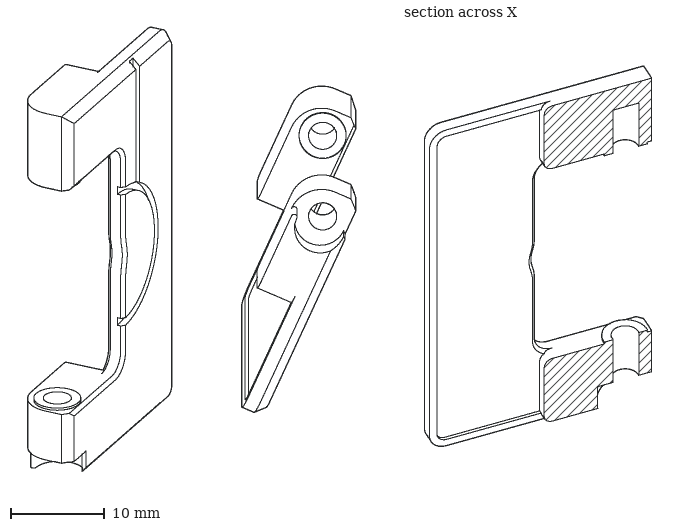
import cadquery as cq
import math

HEIGHT = 44.0
DEPTH = 25.45
WIDTH = 6.4
MID_Z = HEIGHT / 2

PLATE_BACK_X = 3.95
CORNER_RADIUS = 2.0
OUTER_CHAMFER = 1.0
RIM_WIDTH = 0.9
POCKET_DEPTH = 0.4

BLOCK_HEIGHT = 8.8
SLOT_BOTTOM_Y = 12.95
SLOT_RADIUS = 2.05
SLOT_CHAMFER = 0.4

NOTCH_DEPTH = 0.4
NOTCH_RADIUS = 3.75
NOTCH_BLEND_RADIUS = 4.9

BLOCK_DEPTH = 12.5
BLOCK_NOSE_RADIUS = 3.5
BLOCK_CORNER_RADIUS = 1.0

PIN_X = 3.4
PIN_Y = 3.0
PIN_DIAMETER = 3.0
BOSS_DIAMETER = 5.0
BOSS_HEIGHT = 0.25

RELIEF_HEIGHT = 3.05
RELIEF_RADIUS = 2.75
LIP_THICKNESS = 0.6

CHANNEL_WIDTH = 0.9
CHANNEL_DEPTH = 0.8
CHANNEL_RING_RADIUS = 7.75
CHANNEL_ENTRY_Y = 16.25


def slot_outline():
    """Slot profile in the YZ plane, open toward -Y."""
    low_z = BLOCK_HEIGHT
    high_z = HEIGHT - BLOCK_HEIGHT
    sweep = math.acos(1 - NOTCH_DEPTH / (NOTCH_RADIUS + NOTCH_BLEND_RADIUS))
    core_half = NOTCH_RADIUS * math.sin(sweep)
    notch_half = core_half + NOTCH_BLEND_RADIUS * math.sin(sweep)
    join_y = SLOT_BOTTOM_Y + NOTCH_BLEND_RADIUS * (1 - math.cos(sweep))
    corner_y = SLOT_BOTTOM_Y - SLOT_RADIUS
    return (
        cq.Workplane("YZ")
        .moveTo(0, low_z)
        .lineTo(corner_y, low_z)
        .tangentArcPoint((SLOT_BOTTOM_Y, low_z + SLOT_RADIUS), relative=False)
        .lineTo(SLOT_BOTTOM_Y, MID_Z - notch_half)
        .tangentArcPoint((join_y, MID_Z - core_half), relative=False)
        .tangentArcPoint((join_y, MID_Z + core_half), relative=False)
        .tangentArcPoint((SLOT_BOTTOM_Y, MID_Z + notch_half), relative=False)
        .lineTo(SLOT_BOTTOM_Y, high_z - SLOT_RADIUS)
        .tangentArcPoint((corner_y, high_z), relative=False)
        .lineTo(0, high_z)
        .close()
    )


def slot_edges_at(face_x):
    """Selector for the slot edges lying in the plane X = face_x."""
    margin = SLOT_CHAMFER / 2
    return cq.selectors.BoxSelector(
        (face_x - margin, margin, BLOCK_HEIGHT - margin),
        (face_x + margin, SLOT_BOTTOM_Y + NOTCH_DEPTH + margin, HEIGHT - BLOCK_HEIGHT + margin),
    )


def make_plate():
    """C-shaped plate with a rimmed pocket on its -X face."""
    plate = (
        cq.Workplane("XY")
        .box(WIDTH - PLATE_BACK_X, DEPTH, HEIGHT, centered=False)
        .translate((PLATE_BACK_X, 0, 0))
        .edges("|X and >Y").fillet(CORNER_RADIUS)
        .faces(">X").chamfer(OUTER_CHAMFER)
    )
    pocket = (
        cq.Workplane("XY")
        .box(POCKET_DEPTH, DEPTH - RIM_WIDTH, HEIGHT - 2 * RIM_WIDTH, centered=False)
        .translate((PLATE_BACK_X, 0, RIM_WIDTH))
        .edges("|X and >Y").fillet(CORNER_RADIUS - RIM_WIDTH)
    )
    plate = plate.cut(pocket).cut(slot_outline().extrude(WIDTH))
    for face_x in (PLATE_BACK_X + POCKET_DEPTH, WIDTH):
        plate = plate.edges(slot_edges_at(face_x)).chamfer(SLOT_CHAMFER)
    return plate


def make_block(base_z):
    """Hinge block with a rounded nose; the plate's own chamfered edge forms its +X side."""
    block_width = WIDTH - OUTER_CHAMFER
    return (
        cq.Workplane("XY")
        .box(block_width, BLOCK_DEPTH, BLOCK_HEIGHT, centered=False)
        .edges("|Z and <X and <Y").fillet(BLOCK_NOSE_RADIUS)
        .edges("|X and >Y").fillet(BLOCK_CORNER_RADIUS)
        .translate((0, 0, base_z))
    )


def pin_cylinder(diameter, base_z, height):
    """Vertical cylinder on the hinge pin axis."""
    return (
        cq.Workplane("XY", origin=(PIN_X, PIN_Y, base_z))
        .circle(diameter / 2)
        .extrude(height)
    )


def make_relief():
    """Space below the lower arm: a round hollow between a round-ended lip and a chamfered edge."""
    lip_radius = LIP_THICKNESS / 2
    far_x = LIP_THICKNESS + 2 * RELIEF_RADIUS
    edge_y = BLOCK_NOSE_RADIUS
    return (
        cq.Workplane("XY")
        .moveTo(0, 0)
        .lineTo(0, edge_y)
        .threePointArc((lip_radius, edge_y - lip_radius), (LIP_THICKNESS, edge_y))
        .threePointArc((LIP_THICKNESS + RELIEF_RADIUS, edge_y + RELIEF_RADIUS), (far_x, edge_y))
        .lineTo(WIDTH, edge_y + WIDTH - far_x)
        .lineTo(WIDTH, 0)
        .close()
        .extrude(RELIEF_HEIGHT)
    )


def make_channel():
    """Half-ring channel around the finger notch, fed by a straight run from the top edge."""
    floor_x = WIDTH - CHANNEL_DEPTH
    ring = (
        cq.Workplane("YZ", origin=(floor_x, SLOT_BOTTOM_Y, MID_Z))
        .circle(CHANNEL_RING_RADIUS + CHANNEL_WIDTH / 2)
        .circle(CHANNEL_RING_RADIUS - CHANNEL_WIDTH / 2)
        .extrude(CHANNEL_DEPTH)
    )
    plate_side = (
        cq.Workplane("XY")
        .box(WIDTH, DEPTH - BLOCK_DEPTH, HEIGHT, centered=False)
        .translate((0, BLOCK_DEPTH, 0))
    )
    entry_offset = CHANNEL_ENTRY_Y - SLOT_BOTTOM_Y
    entry_end_z = MID_Z + math.sqrt(CHANNEL_RING_RADIUS ** 2 - entry_offset ** 2)
    entry = (
        cq.Workplane("XY")
        .box(CHANNEL_DEPTH, CHANNEL_WIDTH, HEIGHT - entry_end_z, centered=False)
        .translate((floor_x, CHANNEL_ENTRY_Y - CHANNEL_WIDTH / 2, entry_end_z))
    )
    return ring.intersect(plate_side).union(entry)


upper_block_z = HEIGHT - BLOCK_HEIGHT
lower_boss_top = BLOCK_HEIGHT + BOSS_HEIGHT
upper_boss_bottom = upper_block_z - BOSS_HEIGHT
pin_hole_depth = lower_boss_top - RELIEF_HEIGHT

result = make_plate()
for block_base in (0, upper_block_z):
    result = result.union(make_block(block_base))
for boss_base in (BLOCK_HEIGHT, upper_boss_bottom):
    result = result.union(pin_cylinder(BOSS_DIAMETER, boss_base, BOSS_HEIGHT))
result = result.cut(make_relief())

for hole_base in (RELIEF_HEIGHT, upper_boss_bottom):
    result = result.cut(pin_cylinder(PIN_DIAMETER, hole_base, pin_hole_depth))
result = result.cut(make_channel())